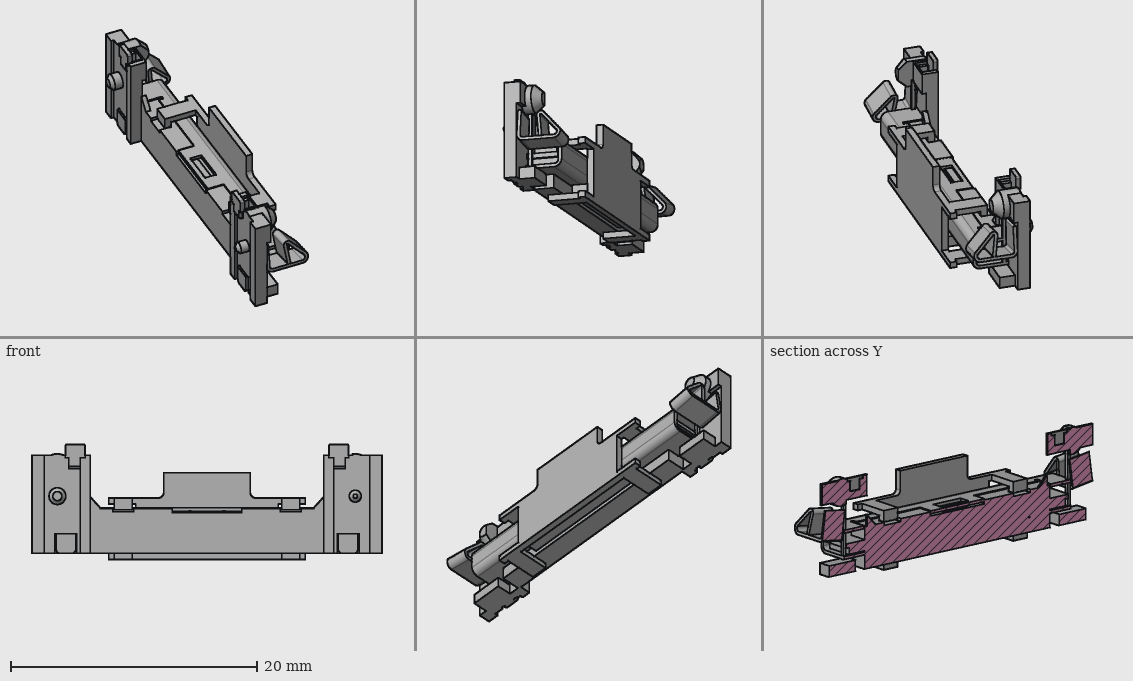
import cadquery as cq
import math

half_length = 14.22
back_face = 5.55
overall_height = 9.35
sheet = 0.28

block_bottom = 0.5
block_top = 8.48
block_front = 0.77
block_back = 1.82
block_upper_back = 2.15
block_upper_bottom = 6.69
block_inner_x = 9.47
groove_floor = 1.02
groove_outer_x = 13.23
groove_inner_x = 10.27

body_half_length = 9.73
body_front = 1.7
body_wall_back = 2.35
body_top = 4.13
body_rail_back = 3.7
core_back = 4.47
core_bottom = 2.05
core_top = 3.02
core_half_length = 11.66
core_step_z = 2.62
core_lower_half_length = 11.38
gusset_top = 5.1
gusset_end_x = 8.6
gusset_back = 2.13
ledge_top = 1.65
ledge_bottom = 0.7
ledge_front = 3.65
ledge_half_length = 5.7
footing_back = 3.47

shell_half_length = 11.92
shell_top = 4.2
shell_bottom = 1.7
shell_back = 4.9
shell_bend = 0.63
tongue_half_width = 2.82
tongue_front = 1.88
cutout_back = 3.3
cutout_outer_x = 9.8
strap_inner_x = 11.65
strap_top = 6.83
strap_front = 2.05
relief_width = 0.25
relief_back = 3.7
window_length = 2.85
window_front = 2.3
window_back = 3.3
tongue_notch_floor = 3.78
key_half_length = 1.35
key_back = 2.93
key_top = 4.05

plate_thickness = 0.57
plate_front = back_face - plate_thickness
plate_half_length = 8.0
plate_neck_half_length = 5.8
crest_half_length = 3.53
crest_top = 7.05
crest_fillet = 0.43
plate_top = 5.0
plate_band = 0.5
arm_inner_x = 6.05
arm_outer_x = 7.55
arm_front = 2.22
hook_depth = 0.57
hook_bottom = 4.05
hook_pocket_floor = 3.87
hook_pocket_back = 2.73
hook_pocket_margin = 0.1

left_pin_x = -12.15
right_pin_x = 12.03
pin_z = 5.15
left_pin_radius = 0.68
right_pin_radius = 0.48
pin_chamfer = 0.3
dome_z = 7.43
dome_radius = 1.17
dome_tip_radius = 0.55
left_dome_flat_x = -11.65
right_dome_flat_x = 11.8
dome_shoulder = 2.7
dome_tip = 3.4

tab_front = 0.68
tab_thickness = 0.4
tab_inner_x = 9.9
tab_outer_x = 11.5
tab_shoulder = 8.25
tab_corner = 0.15
stem_outer_x = 11.2
stem_bottom = 7.37
stem_chamfer = 0.2
socket_back = 2.02
socket_outer_x = 11.52
foot_inner_x = 10.67
foot_outer_x = 12.23
foot_gap = 0.1
foot_front = 0.85
foot_top = 2.08
foot_corner = 0.28
heel_outer_x = 13.49
heel_back = 3.13
heel_top = 1.48

spring_inner_x = 12.12
spring_bottom = 3.55
spring_top = 6.1
spring_bend = 0.5
spring_tilt = 8.0
spring_heel_middle = (5.32, 3.87)
spring_heel_end = (5.35, 4.32)
spring_peak_start = (3.95, 5.8)
spring_peak_middle = (3.73, 5.85)
spring_peak_end = (3.58, 5.65)
spring_tip = (3.8, 3.95)


def box(x_range, y_range, z_range):
    """Axis-aligned box given by its limits."""
    size = [high - low for low, high in (x_range, y_range, z_range)]
    corner = (x_range[0], y_range[0], z_range[0])
    return cq.Workplane("XY").box(*size, centered=False).translate(corner)


def extrude_along_y(profile, y_start, y_end):
    """Extrude a closed (X, Z) polyline from y_start to y_end."""
    return cq.Workplane("XZ", origin=(0, y_start, 0)).polyline(profile).close().extrude(y_start - y_end)


def disc(radius, y_start, y_end, x, z):
    """Cylinder along Y."""
    plane = cq.Plane(origin=(x, y_start, z), xDir=(1, 0, 0), normal=(0, 1, 0))
    return cq.Workplane(plane).circle(radius).extrude(y_end - y_start)


def both_ends(shape):
    """A shape of the +X end together with its mirror image."""
    return shape.union(shape.mirror("YZ"))


def make_body():
    """Hollow-backed rail with gussets at its ends, and pockets for the tongue and the clip hooks."""
    full = (-body_half_length, body_half_length)
    upper_core = (-core_half_length, core_half_length)
    lower_core = (-core_lower_half_length, core_lower_half_length)
    ledge_span = (-ledge_half_length, ledge_half_length)
    body = box(full, (body_front, body_wall_back), (block_bottom, body_top))
    body = body.union(box(full, (body_front, body_rail_back), (core_top, body_top)))
    body = body.union(box(upper_core, (body_front, core_back), (core_step_z, core_top)))
    body = body.union(box(lower_core, (body_front, core_back), (core_bottom, core_step_z)))
    body = body.union(box(ledge_span, (ledge_front, plate_front), (ledge_bottom, ledge_top)))
    body = body.union(box(full, (body_front, footing_back), (block_bottom, ledge_top)))

    gusset_outline = [(block_inner_x, body_top), (block_inner_x, gusset_top), (gusset_end_x, body_top)]
    gusset = extrude_along_y(gusset_outline, body_front, gusset_back)
    body = body.union(both_ends(gusset))

    tongue_notch = box(
        (-tongue_half_width, tongue_half_width), (body_front, body_rail_back), (tongue_notch_floor, body_top)
    )
    hook_pocket = box(
        (arm_inner_x - hook_pocket_margin, arm_outer_x + hook_pocket_margin),
        (body_front, hook_pocket_back),
        (hook_pocket_floor, body_top),
    )
    key = box((-key_half_length, key_half_length), (window_front, key_back), (tongue_notch_floor, key_top))
    return body.cut(tongue_notch).cut(both_ends(hook_pocket)).union(key)


def make_end_block():
    """Upright block with a front groove and recesses for the terminal tab and foot."""
    span = (block_inner_x, half_length)
    height = (block_bottom, block_top)
    block = box(span, (block_front, block_back), height)
    block = block.union(box(span, (block_front, block_upper_back), (block_upper_bottom, block_top)))
    block = block.cut(box((groove_inner_x, groove_outer_x), (block_front, groove_floor), height))
    socket = box((tab_inner_x, socket_outer_x), (groove_floor, socket_back), (tab_shoulder, block_top))
    stem_slot = box((groove_inner_x, stem_outer_x), (groove_floor, socket_back), (stem_bottom, block_top))
    foot_pocket = box(
        (foot_inner_x - foot_gap, foot_outer_x + foot_gap),
        (groove_floor, groove_floor + foot_gap),
        (block_bottom, foot_top),
    )
    return block.cut(socket).cut(stem_slot).cut(foot_pocket)


def make_shell():
    """Sheet channel, open at the front, with a tongue and two upright straps."""
    span = (-shell_half_length, shell_half_length)
    outer = box(span, (block_back, shell_back), (shell_bottom, shell_top))
    outer = outer.edges("|X and >Y").fillet(shell_bend)
    inner = box(span, (block_back, shell_back - sheet), (shell_bottom + sheet, shell_top - sheet))
    shell = outer.cut(inner.edges("|X and >Y").fillet(shell_bend - sheet))

    sheet_height = (shell_top - sheet, shell_top)
    cutout = box((tongue_half_width, cutout_outer_x), (block_back, cutout_back), sheet_height)
    relief = box((cutout_outer_x - relief_width, cutout_outer_x), (block_back, relief_back), sheet_height)
    shell = shell.cut(both_ends(cutout.union(relief)))
    shell = shell.cut(box((-tongue_half_width, tongue_half_width), (block_back, tongue_front), sheet_height))

    window = box((-window_length / 2, window_length / 2), (window_front, window_back), sheet_height)
    shell = shell.cut(window)

    strap_depth = (strap_front, strap_front + sheet)
    strap = box((strap_inner_x, shell_half_length), strap_depth, (shell_bottom, strap_top))
    return shell.union(both_ends(strap))


def make_plate():
    """Upright back plate with a raised crest, and clip arms at its top and bottom."""
    depth = (plate_front, back_face)
    crest = box((-crest_half_length, crest_half_length), depth, (0, crest_top))
    band = box((-plate_half_length, plate_half_length), depth, (plate_top - plate_band, plate_top))
    neck = box((-plate_neck_half_length, plate_neck_half_length), depth, (0, plate_top))
    base = box((-plate_half_length, plate_half_length), depth, (0, plate_band))
    plate = crest.union(neck).union(band).union(base)
    inner_corners = cq.selectors.BoxSelector(
        (-plate_neck_half_length, plate_front, plate_top - crest_fillet),
        (plate_neck_half_length, back_face, plate_top + crest_fillet),
    )
    plate = plate.edges("|Y").edges(inner_corners).fillet(crest_fillet)

    arm_span = (arm_inner_x, arm_outer_x)
    upper_arm = box(arm_span, (arm_front, plate_front), (plate_top - plate_band, plate_top))
    hook = box(arm_span, (arm_front, arm_front + hook_depth), (hook_bottom, plate_top))
    lower_arm = box(arm_span, (arm_front, plate_front), (0, plate_band))
    return plate.union(both_ends(upper_arm.union(hook).union(lower_arm)))


def make_terminal():
    """T-shaped tab at the block top and solder foot with its heel at the block bottom."""
    depth = (tab_front, tab_front + tab_thickness)
    head = box((tab_inner_x, tab_outer_x), depth, (tab_shoulder, overall_height))
    head = head.edges("|Y and >Z").fillet(tab_corner)
    stem = box((groove_inner_x, stem_outer_x), depth, (stem_bottom, overall_height - tab_corner))
    stem = stem.edges("|X and <Y and <Z").chamfer(stem_chamfer)
    foot = box((foot_inner_x, foot_outer_x), (foot_front, block_back), (block_bottom, foot_top))
    foot = foot.edges("|Y and <Z").fillet(foot_corner)
    heel = box((foot_inner_x, heel_outer_x), (block_back, heel_back), (block_bottom, heel_top))
    return head.union(stem).union(foot).union(heel)


def make_dome(x, flat_x):
    """Round boss through the block, ending in a cone at the back and cut flat on its inner side."""
    boss = disc(dome_radius, groove_floor, dome_tip, x, dome_z)
    boss = boss.faces(">Y").chamfer(dome_tip - dome_shoulder, dome_radius - dome_tip_radius)
    outer_x = math.copysign(half_length, x)
    kept = box(sorted((flat_x, outer_x)), (groove_floor, dome_tip), (block_bottom, overall_height))
    return boss.intersect(kept)


def make_spring():
    """Strip bent up the block back, along the bottom and folded over into a triangle, then tilted."""
    half = sheet / 2
    path = (
        cq.Workplane("YZ", origin=(spring_inner_x, 0, 0))
        .moveTo(block_back + half, spring_top)
        .lineTo(block_back + half, spring_bottom + spring_bend)
        .radiusArc((block_back + spring_bend, spring_bottom + half), half - spring_bend)
        .lineTo(back_face - spring_bend, spring_bottom + half)
        .threePointArc(spring_heel_middle, spring_heel_end)
        .lineTo(*spring_peak_start)
        .threePointArc(spring_peak_middle, spring_peak_end)
        .lineTo(*spring_tip)
    )
    strip = path.offset2D(half).extrude(half_length - spring_inner_x)
    pivot = (half_length, 0, spring_bottom)
    return strip.rotate(pivot, (half_length, 1, spring_bottom), -spring_tilt)


def make_pin(radius, x):
    """Locating pin standing out of the block groove, chamfered at its tip."""
    pin = disc(radius, 0, groove_floor, x, pin_z)
    return pin.faces("<Y").chamfer(pin_chamfer)


end = make_end_block().union(make_terminal()).union(make_spring())
result = make_body().union(make_shell()).union(make_plate()).union(both_ends(end))
result = result.union(make_dome(left_pin_x, left_dome_flat_x))
result = result.union(make_dome(right_pin_x, right_dome_flat_x))
result = result.union(make_pin(left_pin_radius, left_pin_x))
result = result.union(make_pin(right_pin_radius, right_pin_x))